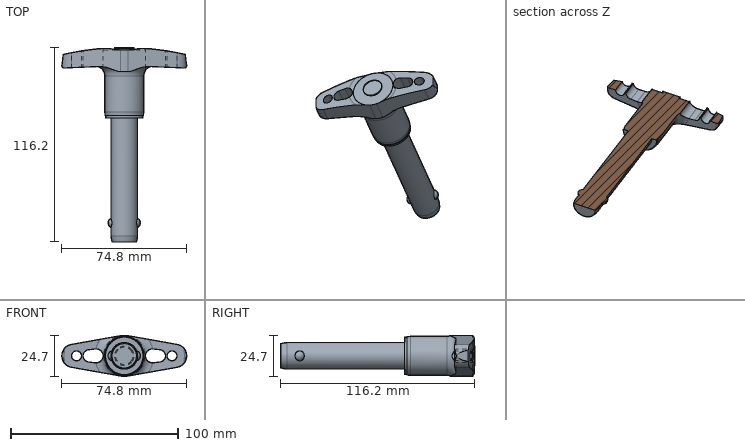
import cadquery as cq
import math


shank_radius = 8.0
shank_length = 74.1
nose_radius = 7.3
nose_length = 3.7
nose_bulge = 0.15
ball_radius = 3.1
ball_reach = 9.7
ball_y = -62.7

collar_radius = 11.75
lip_radius = 11.2
lip_height = 1.45
shoulder_radius = 11.5
shoulder_top_y = 3.65

flare_start_y = 25.3
flare_radius = 5.5
underside_angle = math.radians(2.8)

handle_length = 74.8
hub_radius = 12.33
tip_radius = 7.0
tip_x = handle_length / 2 - tip_radius

rim_bottom_radius = 37.6
rim_top_radius = 36.6
rim_top_y = 38.1
rim_fillet = 1.4
crown_mid_radius = 26.25
crown_mid_y = 40.15
crest_radius = 14.9
crest_y = 41.7
dish_lip_radius = 13.3
dish_lip_y = 41.36
dish_radius = 12.3
dish_y = 40.8

hole_x = 28.55
hole_radius = 2.9
slot_inner_x = 16.8
slot_inner_radius = 4.1
slot_outer_x = 21.0
slot_outer_radius = 3.6

button_top_y = 42.1
button_radius = 5.8
button_neck_radius = 5.2
button_rim = 0.5


def turn(profile):
    """Revolve a closed XY profile about the pin axis."""
    return profile.revolve(360, (0, 0, 0), (0, 1, 0))


def through_cutter():
    """XZ sketch plane at the shoulder; a negative extrusion runs up through the handle."""
    return cq.Workplane("XZ")


def tapered_bar(x_a, radius_a, x_b, radius_b):
    """Hull of two circles centred on the X axis (x_a < x_b), from the shoulder to the button top."""
    lean = math.asin((radius_a - radius_b) / (x_b - x_a))
    start_x = x_a + radius_a * math.sin(lean)
    start_z = radius_a * math.cos(lean)
    end_x = x_b + radius_b * math.sin(lean)
    end_z = radius_b * math.cos(lean)
    return (
        through_cutter()
        .moveTo(start_x, start_z)
        .lineTo(end_x, end_z)
        .threePointArc((x_b + radius_b, 0), (end_x, -end_z))
        .lineTo(start_x, -start_z)
        .threePointArc((x_a - radius_a, 0), (start_x, start_z))
        .close()
        .extrude(-button_top_y)
    )


def both_sides(shape):
    """A right-hand shape together with its mirror image on the left."""
    return shape.union(shape.mirror("YZ"))


def make_handle():
    """Turned blank of flare, underside, rim and crown, trimmed to the outline of the arms."""
    flare_centre_x = collar_radius + flare_radius
    flare_end_x = flare_centre_x + flare_radius * math.sin(underside_angle)
    flare_end_y = flare_start_y + flare_radius * math.cos(underside_angle)
    flare_mid_angle = (math.pi / 2 + underside_angle) / 2
    flare_mid_x = flare_centre_x - flare_radius * math.cos(flare_mid_angle)
    flare_mid_y = flare_start_y + flare_radius * math.sin(flare_mid_angle)
    rim_bottom_y = flare_end_y - (rim_bottom_radius - flare_end_x) * math.tan(underside_angle)
    blank = turn(
        cq.Workplane("XY")
        .moveTo(0, flare_start_y)
        .lineTo(collar_radius, flare_start_y)
        .threePointArc((flare_mid_x, flare_mid_y), (flare_end_x, flare_end_y))
        .lineTo(rim_bottom_radius, rim_bottom_y)
        .lineTo(rim_top_radius, rim_top_y)
        .threePointArc((crown_mid_radius, crown_mid_y), (crest_radius, crest_y))
        .threePointArc((dish_lip_radius, dish_lip_y), (dish_radius, dish_y))
        .lineTo(0, dish_y)
        .close()
    )
    rim_corner = cq.selectors.NearestToPointSelector((-rim_bottom_radius, rim_bottom_y, 0))
    blank = blank.edges(rim_corner).fillet(rim_fillet)
    return blank.intersect(both_sides(tapered_bar(0, hub_radius, tip_x, tip_radius)))


def make_openings():
    """Round hole and tapered slot through each handle arm."""
    hole = through_cutter().center(hole_x, 0).circle(hole_radius).extrude(-button_top_y)
    slot = tapered_bar(slot_inner_x, slot_inner_radius, slot_outer_x, slot_outer_radius)
    return both_sides(hole.union(slot))


def make_pin():
    """Shank with a rounded nose, and the collar with its stepped lip."""
    nose_mid_radius = (nose_radius + shank_radius) / 2 + nose_bulge
    return turn(
        cq.Workplane("XY")
        .moveTo(0, -shank_length)
        .lineTo(nose_radius, -shank_length)
        .threePointArc(
            (nose_mid_radius, nose_length / 2 - shank_length),
            (shank_radius, nose_length - shank_length),
        )
        .lineTo(shank_radius, 0)
        .lineTo(lip_radius, 0)
        .lineTo(lip_radius, lip_height)
        .lineTo(shoulder_radius, lip_height)
        .lineTo(collar_radius, shoulder_top_y)
        .lineTo(collar_radius, flare_start_y)
        .lineTo(0, flare_start_y)
        .close()
    )


def make_button():
    """Disc on a neck that widens from the dish floor to the rim."""
    return turn(
        cq.Workplane("XY")
        .moveTo(0, dish_y)
        .lineTo(button_neck_radius, dish_y)
        .lineTo(button_radius, button_top_y - button_rim)
        .lineTo(button_radius, button_top_y)
        .lineTo(0, button_top_y)
        .close()
    )


def make_balls():
    """Locking balls standing out of the shank on either side."""
    ball_x = ball_reach - ball_radius
    return both_sides(cq.Workplane("XY").sphere(ball_radius).translate((ball_x, ball_y, 0)))


handle = make_handle().cut(make_openings())
result = make_pin().union(handle).union(make_button()).union(make_balls())